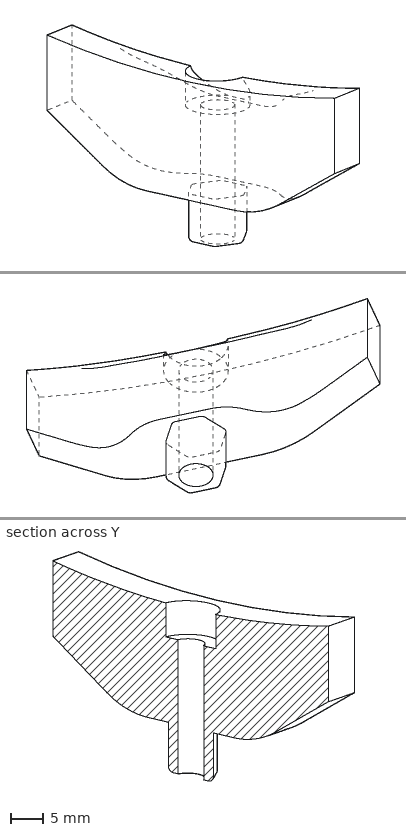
import cadquery as cq
import math

length = 55.0
plate_thickness = 6.5
end_bottom_height = 9.45
end_top_height = 21.6
saddle_radius = 150.0
bottom_corner_x = 13.05
bottom_corner_radius = 15.0

total_depth = 12.5
boss_flat_half = 4.2
boss_crest_radius = 8.0
boss_foot_radius = 17.05
slope_back_height = 13.0
slope_angle = 45.0
slope_root_radius = 3.3

axis_y = 7.0
stud_length = 7.9
stud_sides = 6
stud_across_flats = 8.6
stud_edge_radius = 1.0
stud_tip_radius = 0.95
bore_diameter = 5.3
counterbore_diameter = 9.95
counterbore_floor = 13.7

half_length = length / 2
saddle_sag = saddle_radius - math.sqrt(saddle_radius**2 - half_length**2)
saddle_height = end_top_height - saddle_sag


def make_body_envelope():
    """Front outline with the concave top, extruded through the full depth."""
    envelope = (
        cq.Workplane("XZ")
        .moveTo(-half_length, end_top_height)
        .lineTo(-half_length, end_bottom_height)
        .lineTo(-bottom_corner_x, 0)
        .lineTo(bottom_corner_x, 0)
        .lineTo(half_length, end_bottom_height)
        .lineTo(half_length, end_top_height)
        .threePointArc((0, saddle_height), (-half_length, end_top_height))
        .close()
        .extrude(-total_depth)
    )
    return envelope.edges("|Y").edges("<Z").fillet(bottom_corner_radius)


def make_plan():
    """Plate with the S-sided boss behind it, as a tall vertical prism."""
    rise = total_depth - plate_thickness
    turn = math.acos(1 - rise / (boss_crest_radius + boss_foot_radius))
    join_x = boss_flat_half + boss_crest_radius * math.sin(turn)
    join_y = total_depth - boss_crest_radius * (1 - math.cos(turn))
    foot_x = join_x + boss_foot_radius * math.sin(turn)
    crest_mid_x = boss_flat_half + boss_crest_radius * math.sin(turn / 2)
    crest_mid_y = total_depth - boss_crest_radius * (1 - math.cos(turn / 2))
    foot_mid_x = foot_x - boss_foot_radius * math.sin(turn / 2)
    foot_mid_y = plate_thickness + boss_foot_radius * (1 - math.cos(turn / 2))
    return (
        cq.Workplane("XY")
        .moveTo(-half_length, 0)
        .lineTo(half_length, 0)
        .lineTo(half_length, plate_thickness)
        .lineTo(foot_x, plate_thickness)
        .threePointArc((foot_mid_x, foot_mid_y), (join_x, join_y))
        .threePointArc((crest_mid_x, crest_mid_y), (boss_flat_half, total_depth))
        .lineTo(-boss_flat_half, total_depth)
        .threePointArc((-crest_mid_x, crest_mid_y), (-join_x, join_y))
        .threePointArc((-foot_mid_x, foot_mid_y), (-foot_x, plate_thickness))
        .lineTo(-half_length, plate_thickness)
        .close()
        .extrude(end_top_height)
    )


def make_slope_cutter():
    """Region above the sloping boss top, rounded where the slope meets the plate."""
    angle = math.radians(slope_angle)
    root_height = slope_back_height + (total_depth - plate_thickness) * math.tan(angle)
    mid_angle = (math.pi / 2 - angle) / 2
    tangent = slope_root_radius * math.tan(mid_angle)
    arc_center_y = plate_thickness + slope_root_radius
    arc_center_z = root_height + tangent
    arc_mid = (
        arc_center_y - slope_root_radius * math.cos(mid_angle),
        arc_center_z - slope_root_radius * math.sin(mid_angle),
    )
    slope_start = (
        plate_thickness + tangent * math.cos(angle),
        root_height - tangent * math.sin(angle),
    )
    return (
        cq.Workplane("YZ")
        .moveTo(total_depth, slope_back_height)
        .lineTo(*slope_start)
        .threePointArc(arc_mid, (plate_thickness, arc_center_z))
        .lineTo(plate_thickness, end_top_height)
        .lineTo(total_depth, end_top_height)
        .close()
        .extrude(half_length, both=True)
    )


def make_stud():
    """Downward hexagonal stud, flats facing front and back, all free edges rounded."""
    across_corners = stud_across_flats / math.cos(math.pi / stud_sides)
    return (
        cq.Workplane("XY")
        .center(0, axis_y)
        .polygon(stud_sides, across_corners)
        .extrude(-stud_length)
        .edges("|Z")
        .fillet(stud_edge_radius)
        .faces("<Z")
        .edges()
        .fillet(stud_tip_radius)
    )


def make_vertical_cylinder(diameter, bottom, top):
    """Cylinder on the stud axis between two heights."""
    return (
        cq.Workplane("XY", origin=(0, axis_y, bottom))
        .circle(diameter / 2)
        .extrude(top - bottom)
    )


body = make_body_envelope().intersect(make_plan()).cut(make_slope_cutter())
body = body.union(make_stud())
body = body.cut(make_vertical_cylinder(bore_diameter, -stud_length, end_top_height))
result = body.cut(make_vertical_cylinder(counterbore_diameter, counterbore_floor, end_top_height))